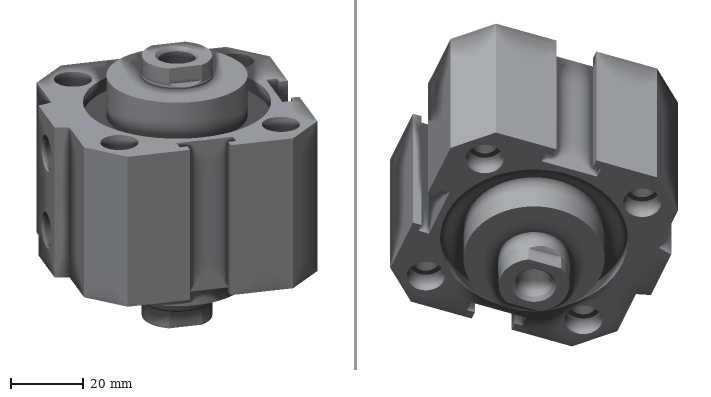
import cadquery as cq
import math


BLOCK_WIDTH = 67.0
BLOCK_HEIGHT = 45.0
CORNER_CHAMFER = 9.75
BLOCK_HALF = BLOCK_WIDTH / 2
BLOCK_TOP = BLOCK_HEIGHT / 2

BOSS_PROJECTION = 4.0
BOSS_BASE_WIDTH = 18.25
BOSS_TIP_WIDTH = 16.1
BOSS_FACE = BLOCK_HALF + BOSS_PROJECTION

RECESS_DIAMETER = 51.95
RECESS_DEPTH = 4.0
COLLAR_DIAMETER = 39.0
COLLAR_PROJECTION = 8.0
COLLAR_TOP = BLOCK_TOP + COLLAR_PROJECTION

SLOT_MOUTH_WIDTH = 11.7
SLOT_INNER_WIDTH = 16.2
SLOT_LIP = 2.5
SLOT_DEPTH = 5.5

MOUNT_SPACING = 46.4
MOUNT_DIAMETER = 7.5
COUNTERBORE_DIAMETER = 10.5
COUNTERBORE_DEPTH = 6.5

PORT_SPACING = 23.0
PORT_DIAMETER = 8.65
PORT_MOUTH_DIAMETER = 10.3
PORT_DEPTH = 10.0

ROD_LENGTH = 78.0
ROD_DIAMETER = 20.0
ROD_TOP_PROJECTION = 6.0
ROD_TOP = COLLAR_TOP + ROD_TOP_PROJECTION
ROD_BOTTOM = ROD_TOP - ROD_LENGTH

END_DIAMETER = 19.5
END_LENGTH = 5.5
END_TAPER_LENGTH = 0.5
FLAT_WIDTH = 17.0
FLAT_FLOOR_SLOPE = 30.0

BORE_DIAMETER = 10.2
BORE_MOUTH_DIAMETER = 12.25
BORE_DEPTH = 15.0
DRILL_POINT_ANGLE = 118.0


def make_block():
    block = cq.Workplane("XY").box(BLOCK_WIDTH, BLOCK_WIDTH, BLOCK_HEIGHT)
    return block.edges("|Z").chamfer(CORNER_CHAMFER)


def make_boss():
    """Dovetail-like rib with tapered flanks along the full block height."""
    return (
        cq.Workplane("XY", origin=(0, 0, -BLOCK_TOP))
        .polyline([
            (-BOSS_BASE_WIDTH / 2, -BLOCK_HALF),
            (-BOSS_TIP_WIDTH / 2, -BOSS_FACE),
            (BOSS_TIP_WIDTH / 2, -BOSS_FACE),
            (BOSS_BASE_WIDTH / 2, -BLOCK_HALF),
        ])
        .close()
        .extrude(BLOCK_HEIGHT)
    )


def make_slot_cutter(angle):
    """T-slot of the +X side, turned about Z by the given angle."""
    mouth = cq.Workplane("XY").box(SLOT_DEPTH, SLOT_MOUTH_WIDTH, BLOCK_HEIGHT)
    mouth = mouth.translate((BLOCK_HALF - SLOT_DEPTH / 2, 0, 0))
    inner_depth = SLOT_DEPTH - SLOT_LIP
    inner = cq.Workplane("XY").box(inner_depth, SLOT_INNER_WIDTH, BLOCK_HEIGHT)
    inner = inner.translate((BLOCK_HALF - SLOT_LIP - inner_depth / 2, 0, 0))
    return mouth.union(inner).rotate((0, 0, 0), (0, 0, 1), angle)


def make_end_recess():
    """Ring-shaped recess around the collar at the upper end."""
    return (
        cq.Workplane("XY", origin=(0, 0, BLOCK_TOP - RECESS_DEPTH))
        .circle(RECESS_DIAMETER / 2)
        .circle(COLLAR_DIAMETER / 2)
        .extrude(RECESS_DEPTH)
    )


def make_counterbores():
    """Counterbores of the four mounting holes at the upper end."""
    return (
        cq.Workplane("XY", origin=(0, 0, BLOCK_TOP - COUNTERBORE_DEPTH))
        .rect(MOUNT_SPACING, MOUNT_SPACING, forConstruction=True)
        .vertices()
        .circle(COUNTERBORE_DIAMETER / 2)
        .extrude(COUNTERBORE_DEPTH)
    )


def make_mount_holes():
    return (
        cq.Workplane("XY", origin=(0, 0, -BLOCK_TOP))
        .rect(MOUNT_SPACING, MOUNT_SPACING, forConstruction=True)
        .vertices()
        .circle(MOUNT_DIAMETER / 2)
        .extrude(BLOCK_HEIGHT)
    )


def make_port_cutter(z):
    """Flat-bottomed port with a 45 degree countersink, centred at height z."""
    port_radius = PORT_DIAMETER / 2
    mouth_radius = PORT_MOUTH_DIAMETER / 2
    countersink = mouth_radius - port_radius
    bottom = PORT_DEPTH - BOSS_FACE
    return (
        cq.Workplane("XY")
        .polyline([
            (0, -BOSS_FACE),
            (mouth_radius, -BOSS_FACE),
            (port_radius, -BOSS_FACE + countersink),
            (port_radius, bottom),
            (0, bottom),
        ])
        .close()
        .revolve(360, (0, 0, 0), (0, 1, 0))
        .translate((0, 0, z))
    )


def make_housing():
    collars = cq.Workplane("XY").circle(COLLAR_DIAMETER / 2).extrude(COLLAR_TOP, both=True)
    body = make_block().union(make_boss()).union(collars)
    for angle in (0, 90, 180):
        body = body.cut(make_slot_cutter(angle))
    for end_cutter in (make_end_recess(), make_counterbores()):
        body = body.cut(end_cutter).cut(end_cutter.mirror("XY"))
    body = body.cut(make_mount_holes())
    for z in (-PORT_SPACING / 2, PORT_SPACING / 2):
        body = body.cut(make_port_cutter(z))
    rod_bore = cq.Workplane("XY").circle(ROD_DIAMETER / 2).extrude(COLLAR_TOP, both=True)
    return body.cut(rod_bore)


def make_rod_shaft():
    """Shaft running the full length, with a short taper down to each reduced end."""
    rod_radius = ROD_DIAMETER / 2
    end_radius = END_DIAMETER / 2
    upper_shoulder = ROD_TOP - END_LENGTH
    lower_shoulder = ROD_BOTTOM + END_LENGTH
    return (
        cq.Workplane("XZ")
        .polyline([
            (0, ROD_BOTTOM),
            (end_radius, ROD_BOTTOM),
            (end_radius, lower_shoulder - END_TAPER_LENGTH),
            (rod_radius, lower_shoulder),
            (rod_radius, upper_shoulder),
            (end_radius, upper_shoulder + END_TAPER_LENGTH),
            (end_radius, ROD_TOP),
            (0, ROD_TOP),
        ])
        .close()
        .revolve(360, (0, 0, 0), (0, 1, 0))
    )


def make_flat_cutter():
    """Wrench flat on the +X side of the upper rod end, with a floor sloping down outward."""
    rod_radius = ROD_DIAMETER / 2
    flat_x = FLAT_WIDTH / 2
    shoulder = ROD_TOP - END_LENGTH
    floor_rise = (rod_radius - flat_x) * math.tan(math.radians(FLAT_FLOOR_SLOPE))
    return (
        cq.Workplane("XZ")
        .polyline([
            (flat_x, shoulder + floor_rise),
            (rod_radius, shoulder),
            (rod_radius, ROD_TOP),
            (flat_x, ROD_TOP),
        ])
        .close()
        .extrude(rod_radius, both=True)
    )


def make_end_bore():
    """Countersunk hole with a conical tip in the upper rod end."""
    bore_radius = BORE_DIAMETER / 2
    mouth_radius = BORE_MOUTH_DIAMETER / 2
    countersink = mouth_radius - bore_radius
    bottom = ROD_TOP - BORE_DEPTH
    tip_length = bore_radius / math.tan(math.radians(DRILL_POINT_ANGLE / 2))
    return (
        cq.Workplane("XZ")
        .polyline([
            (0, ROD_TOP),
            (mouth_radius, ROD_TOP),
            (bore_radius, ROD_TOP - countersink),
            (bore_radius, bottom),
            (0, bottom - tip_length),
        ])
        .close()
        .revolve(360, (0, 0, 0), (0, 1, 0))
    )


def make_rod():
    """Piston rod, machined alike at both ends."""
    rod = make_rod_shaft()
    rod_middle = (0, 0, (ROD_TOP + ROD_BOTTOM) / 2)
    flat = make_flat_cutter()
    for end_cutter in (flat, flat.mirror("YZ"), make_end_bore()):
        rod = rod.cut(end_cutter).cut(end_cutter.mirror("XY", rod_middle))
    return rod


housing = make_housing()
rod = make_rod()

result = cq.Compound.makeCompound([housing.val(), rod.val()])